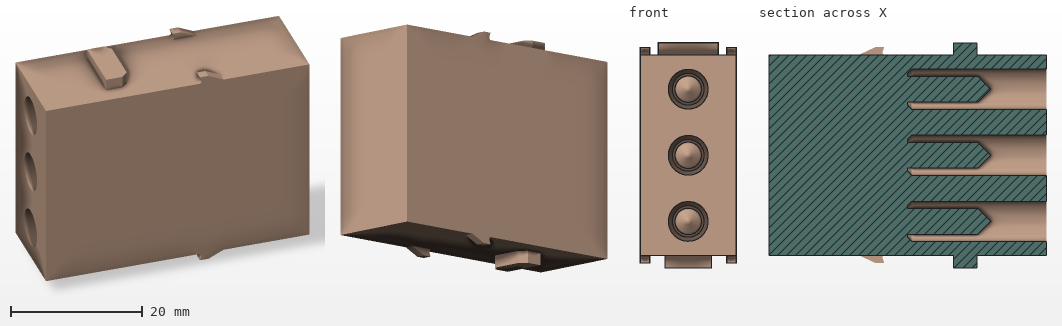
import cadquery as cq

width = 14.6
length = 42.1
body_height = 30.45
overall_height = 34.2
front_y = -length / 2

key_height = (overall_height - body_height) / 2
top_key_width = 9.15
bottom_key_width = 7.1
key_length = 3.6
key_chamfer = 1.0
key_setback = 10.52

hook_width = 1.47
hook_height = 1.15
hook_ramp_start_y = 7.33
hook_ramp_end_y = 4.9
hook_tip_y = 3.55
hook_root_y = 3.9
hook_root_radius = 0.35

contact_count = 3
contact_pitch = 10.0
chamber_diameter = 6.0
chamber_floor_diameter = 4.8
chamber_taper_length = (chamber_diameter - chamber_floor_diameter) / 2
chamber_depth = 21.05
pin_diameter = 4.0
pin_length = 12.65
pin_tip_length = pin_diameter / 2


def coding_key(key_width):
    """Key on the top face with its two rear corners chamfered."""
    centre_y = front_y + key_setback + key_length / 2
    return (
        cq.Workplane("XY", origin=(0, centre_y, body_height / 2))
        .rect(key_width, key_length)
        .extrude(key_height)
        .edges("|Z and >Y")
        .chamfer(key_chamfer)
    )


def left_hook():
    """Hook at the left edge of the top face: a rear ramp and an undercut front."""
    base_z = body_height / 2
    tip_z = base_z + hook_height
    return (
        cq.Workplane("YZ", origin=(-width / 2, 0, 0))
        .moveTo(hook_ramp_start_y, base_z)
        .lineTo(hook_ramp_end_y, tip_z)
        .lineTo(hook_tip_y, tip_z)
        .lineTo(hook_root_y, base_z)
        .close()
        .extrude(hook_width)
    )


def top_features(key_width):
    """Everything that stands on the top face: one key and two hooks."""
    hook = left_hook()
    return coding_key(key_width).union(hook).union(hook.mirror("YZ"))


def contact_chamber():
    """Empty space of one chamber around its pin, with the axis along Y at Z = 0."""
    floor_y = front_y + chamber_depth
    shoulder_y = floor_y - pin_length + pin_tip_length
    return (
        cq.Workplane("XY")
        .moveTo(0, front_y)
        .lineTo(chamber_diameter / 2, front_y)
        .lineTo(chamber_diameter / 2, floor_y - chamber_taper_length)
        .lineTo(chamber_floor_diameter / 2, floor_y)
        .lineTo(pin_diameter / 2, floor_y)
        .lineTo(pin_diameter / 2, shoulder_y)
        .lineTo(0, shoulder_y - pin_tip_length)
        .close()
        .revolve(360, (0, 0, 0), (0, 1, 0))
    )


result = cq.Workplane("XY").box(width, length, body_height)
result = result.union(top_features(top_key_width))
result = result.union(top_features(bottom_key_width).mirror("XY"))

for side_x in (-1, 1):
    for side_z in (-1, 1):
        root = (side_x * (width - hook_width) / 2, hook_root_y, side_z * body_height / 2)
        root_edge = cq.selectors.NearestToPointSelector(root)
        result = result.edges(root_edge).fillet(hook_root_radius)

for index in range(contact_count):
    contact_z = (index - (contact_count - 1) / 2) * contact_pitch
    result = result.cut(contact_chamber().translate((0, 0, contact_z)))